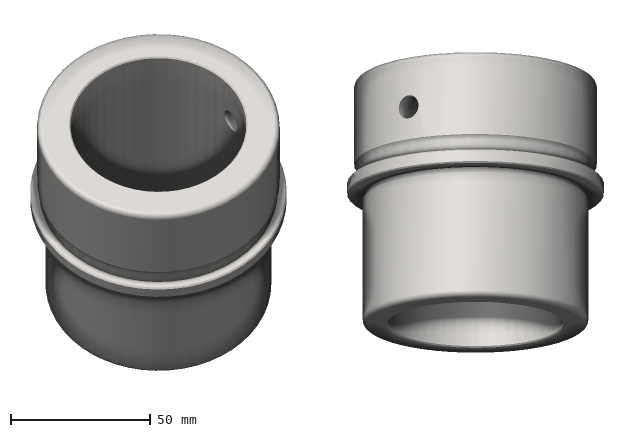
import cadquery as cq
HEIGHT = 90.0
BORE_RADIUS = 31.5
BORE_CHAMFER = 0.5

SPIGOT_RADIUS = 40.5
SPIGOT_END_ROUND = 2.0
SPIGOT_RELIEF_DEPTH = 0.9
SPIGOT_RELIEF_HEIGHT = 2.0

FLANGE_RADIUS = 46.0
FLANGE_BOTTOM = 48.0
FLANGE_THICKNESS = 5.0
FLANGE_CHAMFER = 0.5

HEAD_RADIUS = 43.5
HEAD_TOP_ROUND = 2.0
HEAD_BOTTOM = 59.2
NECK_RADIUS = 42.83
NECK_FLARE_HEIGHT = 1.5

RADIAL_HOLE_DIAMETER = 8.5
RADIAL_HOLE_Z = 71.2


def flare_arc_radius(depth, height):
    """Radius of an arc, parallel to Z at one end, that moves outward by depth over height."""
    return (depth**2 + height**2) / (2 * depth)


def turned_body():
    """Revolve the stepped outer profile about Z."""
    flange_top = FLANGE_BOTTOM + FLANGE_THICKNESS
    relief_radius = SPIGOT_RADIUS - SPIGOT_RELIEF_DEPTH
    relief_arc = flare_arc_radius(SPIGOT_RELIEF_DEPTH, SPIGOT_RELIEF_HEIGHT)
    flare_arc = flare_arc_radius(HEAD_RADIUS - NECK_RADIUS, NECK_FLARE_HEIGHT)
    profile = (
        cq.Workplane("XZ")
        .lineTo(SPIGOT_RADIUS, 0)
        .lineTo(SPIGOT_RADIUS, FLANGE_BOTTOM - SPIGOT_RELIEF_HEIGHT)
        .radiusArc((relief_radius, FLANGE_BOTTOM), relief_arc)
        .lineTo(FLANGE_RADIUS - FLANGE_CHAMFER, FLANGE_BOTTOM)
        .lineTo(FLANGE_RADIUS, FLANGE_BOTTOM + FLANGE_CHAMFER)
        .lineTo(FLANGE_RADIUS, flange_top - FLANGE_CHAMFER)
        .lineTo(FLANGE_RADIUS - FLANGE_CHAMFER, flange_top)
        .lineTo(NECK_RADIUS, flange_top)
        .lineTo(NECK_RADIUS, HEAD_BOTTOM - NECK_FLARE_HEIGHT)
        .radiusArc((HEAD_RADIUS, HEAD_BOTTOM), flare_arc)
        .lineTo(HEAD_RADIUS, HEIGHT)
        .lineTo(0, HEIGHT)
        .close()
    )
    body = profile.revolve(360, (0, 0, 0), (0, 1, 0))
    body = body.faces(">Z").edges().fillet(HEAD_TOP_ROUND)
    return body.faces("<Z").edges().fillet(SPIGOT_END_ROUND)


def bore():
    """Through bore, widened by a chamfer at both ends."""
    mouth_radius = BORE_RADIUS + BORE_CHAMFER
    return (
        cq.Workplane("XZ")
        .lineTo(mouth_radius, 0)
        .lineTo(BORE_RADIUS, BORE_CHAMFER)
        .lineTo(BORE_RADIUS, HEIGHT - BORE_CHAMFER)
        .lineTo(mouth_radius, HEIGHT)
        .lineTo(0, HEIGHT)
        .close()
        .revolve(360, (0, 0, 0), (0, 1, 0))
    )


def radial_hole():
    """Cylinder from the axis out through the +Y wall."""
    return (
        cq.Workplane("XZ")
        .center(0, RADIAL_HOLE_Z)
        .circle(RADIAL_HOLE_DIAMETER / 2)
        .extrude(-FLANGE_RADIUS)
    )


result = turned_body().cut(bore()).cut(radial_hole())